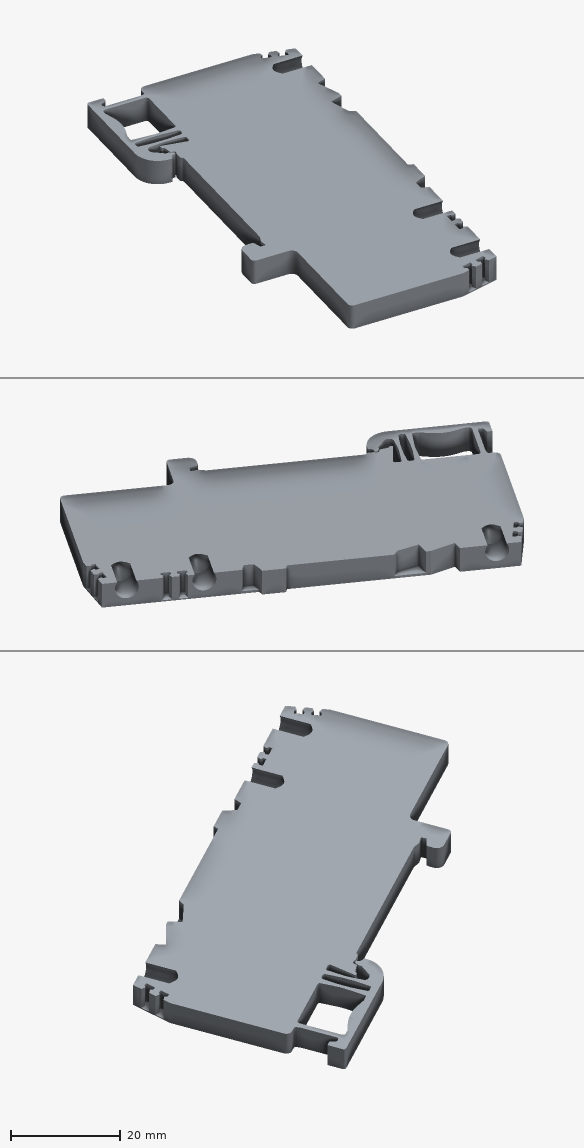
import cadquery as cq
import math

LENGTH = 82.0
HEIGHT = 43.3
THICKNESS = 5.1
OVERCUT = 1.0

TAB_HEIGHT = 1.0
TOP_Y = HEIGHT - TAB_HEIGHT
SHOULDER_Y = 34.3
SHOULDER_RUN = 2.0
SKIRT_Y = 10.85
SEAT_Y = 7.15
TAB_LEFT = 45.6
TAB_RIGHT = 50.75
TAB_DRAFT = 0.35

WEB = 0.5
LIP_FLOOR = 0.28
DOVETAIL_MOUTH = 1.75
DOVETAIL_NECK = 1.05
DOVETAIL_BASE = 1.9
NECK_DEPTH = 0.75
BASE_START = 1.1
DOVETAIL_DEPTH = 1.75
TOP_DOVETAIL_X = (64.85, 67.9)
SHOULDER_DOVETAIL_Y = (39.65, 36.55)

HOLE_AXIS_DROP = 1.35
HOLE_DEPTH = 6.05
HOLE_CONE = 2.4
HOLE_OPENING = 3.55
HOLE_X = (6.5, 60.97, 75.4)

WINDOW_LEFT = 3.5
WINDOW_RIGHT = 14.6
WINDOW_BOTTOM = 1.45
WINDOW_BOW = 0.35
ARCH_PEAK = 2.85
ARCH_RADIUS = 8.0
ARCH_INSET = 1.3
SLOT_CENTER = 16.5
SLOT_END_WIDTH = 1.25
SLOT_BOW_WIDTH = 2.3
SLOT_SIDE_RADIUS = 35.0
WEB_BOW_Y = 6.5
WEB_BOW_RADIUS = 12.0
HOOK_RADIUS = 4.7


def rounded_outline(corners):
    """Closed wire through (x, y, radius) corners, each rounded by a tangent arc."""
    start = None
    path = cq.Workplane("XY")
    count = len(corners)
    for i, (x, y, radius) in enumerate(corners):
        before = cq.Vector(*corners[i - 1][:2])
        after = cq.Vector(*corners[(i + 1) % count][:2])
        corner = cq.Vector(x, y)
        to_before = (before - corner).normalized()
        to_after = (after - corner).normalized()
        half_angle = to_before.getAngle(to_after) / 2
        setback = radius / math.tan(half_angle)
        enter = corner + to_before * setback
        if start is None:
            start = enter
            path = path.moveTo(enter.x, enter.y)
        else:
            path = path.lineTo(enter.x, enter.y)
        if radius > 0:
            bisector = (to_before + to_after).normalized()
            reach = radius / math.sin(half_angle) - radius
            middle = corner + bisector * reach
            leave = corner + to_after * setback
            path = path.threePointArc((middle.x, middle.y), (leave.x, leave.y))
    return path.close()


def prism(corners, floor=0.0, top=THICKNESS):
    """Solid with a rounded outline between two heights."""
    return rounded_outline(corners).extrude(top - floor).translate((0, 0, floor))


def housing():
    """Full-thickness plate with the tab, the latch nose and both rail feet."""
    top_edge = [
        (0, SHOULDER_Y, 0),
        (SHOULDER_RUN, TOP_Y, 0),
        (13.4, TOP_Y, 0),
        (14.0, 40.4, 0.1),
        (18.8, TOP_Y, 0),
        (TAB_LEFT, TOP_Y, 0),
        (TAB_LEFT + TAB_DRAFT, HEIGHT, 0),
        (TAB_RIGHT - TAB_DRAFT, HEIGHT, 0),
        (TAB_RIGHT, TOP_Y, 0),
        (LENGTH - SHOULDER_RUN, TOP_Y, 0),
        (LENGTH, SHOULDER_Y, 0),
    ]
    fixed_foot = [
        (LENGTH, SKIRT_Y, 1.0),
        (60.5, SKIRT_Y, 1.3),
        (60.5, 2.2, 0.7),
        (55.05, 2.2, 1.5),
        (55.05, 5.2, 0.6),
        (56.8, 5.75, 0),
        (56.8, 6.87, 0),
        (55.3, 6.65, 0),
        (53.9, SEAT_Y, 0),
    ]
    latch_nose = [
        (24.4, SEAT_Y, 0),
        (23.9, 6.65, 0),
        (22.6, 6.65, 0),
        (22.2, 6.85, 0),
        (21.7, 6.8, 0),
        (21.5, 5.95, 0),
        (19.7, 5.6, 0),
        (19.5, 5.2, 0),
        (18.85, 5.2, 0),
        (19.9, SKIRT_Y, 0.45),
        (18.25, SKIRT_Y, 0.4),
    ]
    hook = [
        (18.0, WEB_BOW_Y, WEB_BOW_RADIUS),
        (18.35, 2.7, 0.8),
        (19.75, 2.7, 0.6),
        (21.5, 5.0, 0),
        (21.5, 5.6, 0),
        (21.95, 6.5, 0),
        (22.5, 6.5, 0),
        (22.5, 5.9, 0),
        (23.0, 5.5, 0),
        (23.55, 5.3, 0),
        (23.55, 0, HOOK_RADIUS),
    ]
    clip_heel = [
        (0, 0, 0.5),
        (0, 3.5, 0),
        (1.0, 3.5, 0.1),
        (1.55, 2.2, 0.3),
        (2.5, 2.2, 0.4),
        (2.5, 9.7, 0.5),
        (2.3, SKIRT_Y, 0.45),
        (0, SKIRT_Y, 1.1),
    ]
    return prism(top_edge + fixed_foot + latch_nose + hook + clip_heel)


def clip_window():
    """Large opening in the clip, with an arched lower edge and a bowed right side."""
    arch_center = (WINDOW_LEFT + WINDOW_RIGHT) / 2
    return prism([
        (WINDOW_LEFT, WINDOW_BOTTOM, 0.6),
        (WINDOW_LEFT, SKIRT_Y, 0.6),
        (WINDOW_RIGHT, SKIRT_Y, 0.4),
        (WINDOW_RIGHT + WINDOW_BOW, WEB_BOW_Y, WEB_BOW_RADIUS),
        (WINDOW_RIGHT, WINDOW_BOTTOM, 0.3),
        (WINDOW_RIGHT - ARCH_INSET, WINDOW_BOTTOM, 0),
        (arch_center, ARCH_PEAK, ARCH_RADIUS),
        (WINDOW_LEFT + ARCH_INSET, WINDOW_BOTTOM, 0),
    ])


def clip_slot():
    """Narrow barrel-shaped opening between the two spring webs."""
    mid_y = (WINDOW_BOTTOM + SKIRT_Y) / 2
    end = SLOT_END_WIDTH / 2
    mid = SLOT_BOW_WIDTH / 2
    return prism([
        (SLOT_CENTER - end, WINDOW_BOTTOM, 0.3),
        (SLOT_CENTER - mid, mid_y, SLOT_SIDE_RADIUS),
        (SLOT_CENTER - end, SKIRT_Y, 0.5),
        (SLOT_CENTER + end, SKIRT_Y, 0.5),
        (SLOT_CENTER + mid, mid_y, SLOT_SIDE_RADIUS),
        (SLOT_CENTER + end, WINDOW_BOTTOM, 0.3),
    ])


def ramp_pocket():
    """Blind pocket in the top edge for a screwdriver tip."""
    return prism([
        (19.75, TOP_Y, 0),
        (20.6, 39.7, 0),
        (24.9, 41.1, 0.5),
        (25.6, TOP_Y, 0),
    ], floor=WEB)


def tab_pocket():
    """Blind tapered pocket beside the tab."""
    return prism([
        (TAB_RIGHT, TOP_Y, 0),
        (51.5, 40.75, 0.3),
        (53.4, 40.75, 0.3),
        (53.95, TOP_Y, 0),
    ], floor=WEB)


def wire_entry(x):
    """Drilled hole with a conical end, lying partly open in the +Z face."""
    radius = math.hypot(HOLE_AXIS_DROP, HOLE_OPENING / 2)
    profile = cq.Workplane("XY").polyline([
        (0, OVERCUT),
        (radius, OVERCUT),
        (radius, -HOLE_DEPTH),
        (0, -HOLE_DEPTH - HOLE_CONE),
    ]).close()
    return profile.revolve(360, (0, 0), (0, 1)).translate((x, TOP_Y, THICKNESS - HOLE_AXIS_DROP))


def dovetail():
    """Dovetail notch opening towards +Y at the origin; its mouth floor falls outwards."""
    mouth = DOVETAIL_MOUTH / 2
    neck = DOVETAIL_NECK / 2
    base = DOVETAIL_BASE / 2
    undercut = prism([
        (-neck, -NECK_DEPTH, 0),
        (neck, -NECK_DEPTH, 0),
        (base, -BASE_START, 0),
        (base, -DOVETAIL_DEPTH, 0),
        (-base, -DOVETAIL_DEPTH, 0),
        (-base, -BASE_START, 0),
    ], floor=WEB)
    funnel = prism([
        (-neck, -NECK_DEPTH, 0),
        (-mouth, 0, 0),
        (mouth, 0, 0),
        (neck, -NECK_DEPTH, 0),
    ])
    above_slope = (
        cq.Workplane("YZ")
        .polyline([(-NECK_DEPTH, WEB), (0, LIP_FLOOR), (0, THICKNESS), (-NECK_DEPTH, THICKNESS)])
        .close()
        .extrude(mouth, both=True)
    )
    return undercut.union(funnel.intersect(above_slope))


def dovetails():
    """Two notches in the top edge and two in each sloped shoulder."""
    cutters = [dovetail().translate((x, TOP_Y, 0)) for x in TOP_DOVETAIL_X]
    shoulder_rise = TOP_Y - SHOULDER_Y
    turn = math.degrees(math.atan2(shoulder_rise, SHOULDER_RUN))
    for y in SHOULDER_DOVETAIL_Y:
        inset = (y - SHOULDER_Y) / shoulder_rise * SHOULDER_RUN
        for x, angle in ((inset, turn), (LENGTH - inset, -turn)):
            cutters.append(dovetail().rotate((0, 0, 0), (0, 0, 1), angle).translate((x, y, 0)))
    return cutters


result = housing()
for cutter in [clip_window(), clip_slot(), ramp_pocket(), tab_pocket()] + dovetails():
    result = result.cut(cutter)
for hole_x in HOLE_X:
    result = result.cut(wire_entry(hole_x))